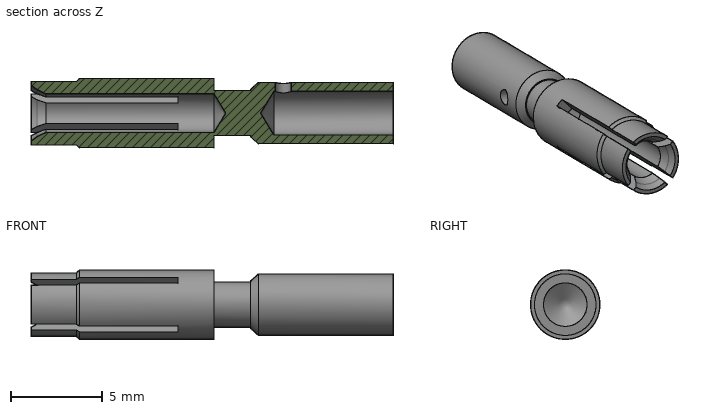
import cadquery as cq
import math

total_length = 19.8
tip_length = 2.48
shoulder_end = 2.63
body_end = 10.0
barrel_start = 12.0
barrel_chamfer_end = 12.41

tip_radius = 1.75
body_radius = 1.9
neck_radius = 1.25
barrel_radius = 1.68
barrel_face_radius = 1.3

mouth_radius = 1.52
lead_in_radius = 1.29
lead_in_depth = 0.32
socket_radius = 1.05
socket_start = 0.81
socket_depth = body_end
drill_half_angle = math.radians(59)

slot_width = 0.45
slot_length = 8.02
slot_angles = (45, 135)

wire_radius = 1.19
wire_depth = 6.53
inspection_x = 13.78
inspection_diameter = 0.85


def revolve_about_x(points):
    """Turn an (x, radius) outline around the X axis."""
    return cq.Workplane("XY").polyline(points).close().revolve(360, (0, 0, 0), (1, 0, 0))


def drill_point_length(radius):
    return radius / math.tan(drill_half_angle)


def make_outside():
    return revolve_about_x([
        (0, 0),
        (0, tip_radius),
        (tip_length, tip_radius),
        (shoulder_end, body_radius),
        (body_end, body_radius),
        (body_end, neck_radius),
        (barrel_start, neck_radius),
        (barrel_start, barrel_face_radius),
        (barrel_chamfer_end, barrel_radius),
        (total_length, barrel_radius),
        (total_length, 0),
    ])


def make_socket():
    return revolve_about_x([
        (0, 0),
        (0, mouth_radius),
        (lead_in_depth, lead_in_radius),
        (socket_start, socket_radius),
        (socket_depth, socket_radius),
        (socket_depth + drill_point_length(socket_radius), 0),
    ])


def make_slot(angle):
    """Slab across the full diameter, turned about the X axis."""
    slab = cq.Workplane("XY").box(
        slot_length, slot_width, 2 * body_radius + slot_width, centered=(False, True, True)
    )
    return slab.rotate((0, 0, 0), (1, 0, 0), angle)


def make_wire_bore():
    bore_end = total_length - wire_depth
    return revolve_about_x([
        (total_length, 0),
        (total_length, wire_radius),
        (bore_end, wire_radius),
        (bore_end - drill_point_length(wire_radius), 0),
    ])


def make_inspection_hole():
    """Radial hole from the axis out through the +Y wall of the barrel."""
    return (
        cq.Workplane("XZ")
        .center(inspection_x, 0)
        .circle(inspection_diameter / 2)
        .extrude(-body_radius)
    )


result = make_outside().cut(make_socket())
for slot_angle in slot_angles:
    result = result.cut(make_slot(slot_angle))
result = result.cut(make_wire_bore()).cut(make_inspection_hole())